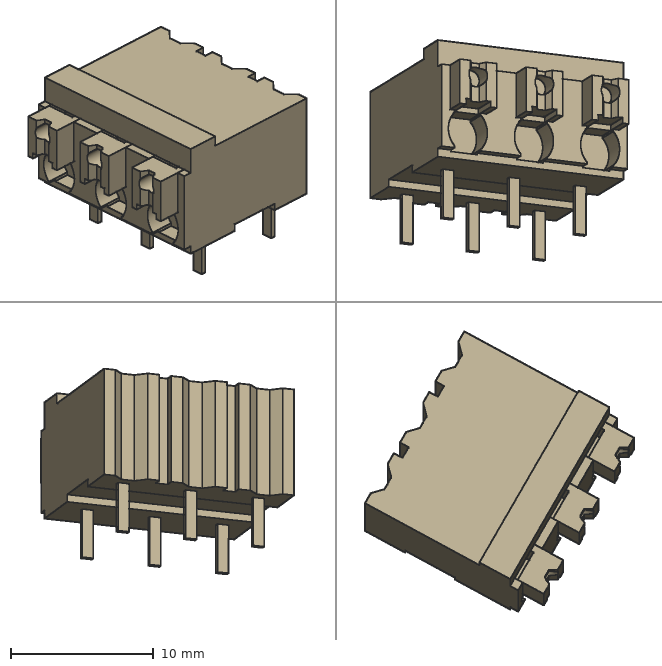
import cadquery as cq


POLES = 3
POLE_PITCH = 5.08
POLE_X = [(index - (POLES - 1) / 2) * POLE_PITCH for index in range(POLES)]

WIDTH = 14.26
BACK_Y = 14.0
FRONT_Y = 1.7
CAP_FRONT_Y = 2.34
CAP_BACK_Y = 4.8
BOTTOM_Z = 3.51
LIP_BOTTOM_Z = 4.1
CAP_BOTTOM_Z = 10.08
REAR_TOP_Z = 11.25
TOP_Z = 12.0

UNDERCUT_FRONT_Y = 6.79
UNDERCUT_BACK_Y = 10.78
UNDERCUT_DEPTH = 0.53

NOTCH_DEPTH = 0.7
V_NOTCH_MOUTH = 2.44
V_NOTCH_FLOOR = 0.98
SQUARE_NOTCH_WIDTH = 0.88

LEVER_WIDTH = 2.81
LEVER_BOTTOM_Z = 6.86
LEVER_BACK_Y = 2.1
ARM_WIDTH = 0.53
CHAMBER_BACK_Y = 3.74
GROOVE_MOUTH = 1.2
GROOVE_FLOOR = 0.6
GROOVE_DEPTH = 0.54
TOOL_HOLE_DIAMETER = 1.41
TOOL_HOLE_Z = 9.08
TOOL_HOLE_DEPTH = 1.43
LEVER_NOTCH_WIDTH = 1.88
LEVER_NOTCH_HEIGHT = 0.41
LEVER_NOTCH_TOP_Z = LEVER_BOTTOM_Z + LEVER_NOTCH_HEIGHT

ENTRY_OFFSET_X = -0.04
ENTRY_SLOT_WIDTH = 2.01
ENTRY_BULGE_WIDTH = 3.0
ENTRY_BULGE_HEIGHT = 2.48
ENTRY_BULGE_Z = 5.46
ENTRY_FLOOR_Z = 3.99
ENTRY_BACK_Y = 3.56

PIN_WIDTH = 0.83
PIN_THICKNESS = 0.35
PIN_ROWS_Y = [5.32, 12.3]


def block(x_center, x_size, y_min, y_max, z_min, z_max):
    """Box centred on x_center, between the given Y and Z limits."""
    box = cq.Workplane("XY").box(x_size, y_max - y_min, z_max - z_min, centered=(True, False, False))
    return box.translate((x_center, y_min, z_min))


def trapezoid_groove(x, mouth, floor, y_mouth, y_floor, z_min, z_max):
    """Vertical prism that narrows from its mouth to its floor along Y."""
    profile = [
        (x - mouth / 2, y_mouth),
        (x + mouth / 2, y_mouth),
        (x + floor / 2, y_floor),
        (x - floor / 2, y_floor),
    ]
    return cq.Workplane("XY").workplane(offset=z_min).polyline(profile).close().extrude(z_max - z_min)


def make_housing_shell():
    """Stepped side profile, with its raised cap and front lip, across the full width."""
    undercut_z = BOTTOM_Z + UNDERCUT_DEPTH
    profile = [
        (BACK_Y, BOTTOM_Z),
        (BACK_Y, REAR_TOP_Z),
        (CAP_BACK_Y, REAR_TOP_Z),
        (CAP_BACK_Y, TOP_Z),
        (CAP_FRONT_Y, TOP_Z),
        (CAP_FRONT_Y, CAP_BOTTOM_Z),
        (FRONT_Y, CAP_BOTTOM_Z),
        (FRONT_Y, LIP_BOTTOM_Z),
        (CAP_FRONT_Y, LIP_BOTTOM_Z),
        (CAP_FRONT_Y, BOTTOM_Z),
        (UNDERCUT_FRONT_Y, BOTTOM_Z),
        (UNDERCUT_FRONT_Y, undercut_z),
        (UNDERCUT_BACK_Y, undercut_z),
        (UNDERCUT_BACK_Y, BOTTOM_Z),
    ]
    return cq.Workplane("YZ").polyline(profile).close().extrude(WIDTH / 2, both=True)


def cut_back_notches(housing):
    """V notch behind each pole and a square notch between neighbouring poles."""
    floor_y = BACK_Y - NOTCH_DEPTH
    for x in POLE_X:
        housing = housing.cut(
            trapezoid_groove(x, V_NOTCH_MOUTH, V_NOTCH_FLOOR, BACK_Y, floor_y, BOTTOM_Z, REAR_TOP_Z)
        )
    for x in POLE_X[:-1]:
        middle_x = x + POLE_PITCH / 2
        housing = housing.cut(
            block(middle_x, SQUARE_NOTCH_WIDTH, floor_y, BACK_Y, BOTTOM_Z, REAR_TOP_Z)
        )
    return housing


def lever_chamber(x):
    """Seat for one lever head, and a cavity with a raised floor for the arm behind it."""
    head_seat = block(x, LEVER_WIDTH, FRONT_Y, LEVER_BACK_Y, LEVER_BOTTOM_Z, CAP_BOTTOM_Z)
    arm_cavity = block(x, LEVER_WIDTH, LEVER_BACK_Y, CHAMBER_BACK_Y, LEVER_NOTCH_TOP_Z, CAP_BOTTOM_Z)
    return head_seat.union(arm_cavity)


def wire_entry(x):
    """Blind wire entry: a flat-floored slot whose two sides bulge outward as arcs."""
    half_slot = ENTRY_SLOT_WIDTH / 2
    half_bulge = ENTRY_BULGE_WIDTH / 2
    bulge_low_z = ENTRY_BULGE_Z - ENTRY_BULGE_HEIGHT / 2
    bulge_high_z = ENTRY_BULGE_Z + ENTRY_BULGE_HEIGHT / 2
    outline = (
        cq.Workplane("XZ", origin=(x + ENTRY_OFFSET_X, FRONT_Y, 0))
        .moveTo(-half_slot, ENTRY_FLOOR_Z)
        .lineTo(half_slot, ENTRY_FLOOR_Z)
        .lineTo(half_slot, bulge_low_z)
        .threePointArc((half_bulge, ENTRY_BULGE_Z), (half_slot, bulge_high_z))
        .lineTo(half_slot, LEVER_BOTTOM_Z)
        .lineTo(-half_slot, LEVER_BOTTOM_Z)
        .lineTo(-half_slot, bulge_high_z)
        .threePointArc((-half_bulge, ENTRY_BULGE_Z), (-half_slot, bulge_low_z))
        .close()
    )
    return outline.extrude(FRONT_Y - ENTRY_BACK_Y)


def make_housing():
    """Housing with its back notches, lever chambers and wire entries."""
    housing = cut_back_notches(make_housing_shell())
    for x in POLE_X:
        housing = housing.cut(lever_chamber(x)).cut(wire_entry(x))
    return housing


def make_lever(x):
    """Lever head with a finger groove and tool hole, and an arm along its +X side."""
    head = block(x, LEVER_WIDTH, 0, LEVER_BACK_Y, LEVER_BOTTOM_Z, CAP_BOTTOM_Z)
    arm_x = x + (LEVER_WIDTH - ARM_WIDTH) / 2
    arm = block(arm_x, ARM_WIDTH, LEVER_BACK_Y, CHAMBER_BACK_Y, LEVER_NOTCH_TOP_Z, CAP_BOTTOM_Z)
    groove = trapezoid_groove(
        x, GROOVE_MOUTH, GROOVE_FLOOR, 0, GROOVE_DEPTH, LEVER_BOTTOM_Z, CAP_BOTTOM_Z
    )
    tool_hole_circle = cq.Workplane("XZ", origin=(x, 0, TOOL_HOLE_Z)).circle(TOOL_HOLE_DIAMETER / 2)
    tool_hole = tool_hole_circle.extrude(-TOOL_HOLE_DEPTH)
    wire_notch = block(x, LEVER_NOTCH_WIDTH, 0, LEVER_BACK_Y, LEVER_BOTTOM_Z, LEVER_NOTCH_TOP_Z)
    return head.union(arm).cut(groove).cut(tool_hole).cut(wire_notch)


def make_pin(x, y):
    """Straight solder pin that meets the underside of the housing."""
    return block(x, PIN_WIDTH, y - PIN_THICKNESS / 2, y + PIN_THICKNESS / 2, 0, BOTTOM_Z)


housing = make_housing()
levers = [make_lever(x) for x in POLE_X]
pins = [make_pin(x, y) for x in POLE_X for y in PIN_ROWS_Y]

result = cq.Compound.makeCompound(
    [housing.val(), *[lever.val() for lever in levers], *[pin.val() for pin in pins]]
)